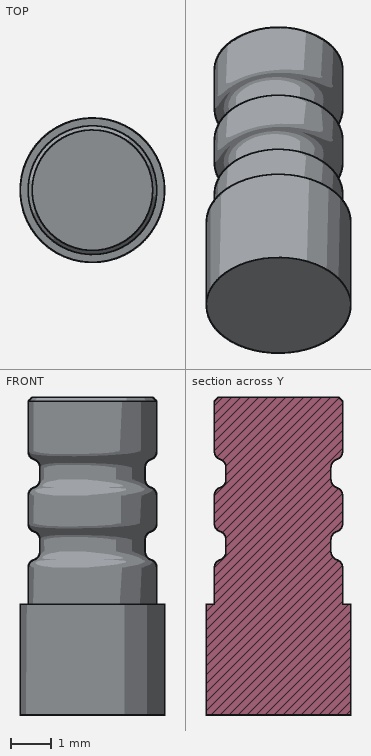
import cadquery as cq

total_height = 7.91
base_radius = 3.6 / 2
base_height = 2.76
stem_radius = 3.2 / 2
top_chamfer = 0.1

groove_radius = 2.63 / 2
groove_floor_width = 0.3
flank_arc_height = 0.2
groove_pitch = 1.795
lower_groove_center = 4.215
groove_centers = [lower_groove_center, lower_groove_center + groove_pitch]

middle_radius = (stem_radius + groove_radius) / 2
floor_half = groove_floor_width / 2
middle_half = floor_half + flank_arc_height
mouth_half = middle_half + flank_arc_height


def make_body():
    """Stepped round pin with a chamfered tip."""
    base = cq.Workplane("XY").circle(base_radius).extrude(base_height)
    stem = cq.Workplane("XY").circle(stem_radius).extrude(total_height)
    return base.union(stem.faces(">Z").chamfer(top_chamfer))


def make_groove_cutter(center):
    """Ring of material removed by one groove, revolved about Z."""
    profile = (
        cq.Workplane("XZ")
        .moveTo(groove_radius, center)
        .lineTo(groove_radius, center + floor_half)
        .tangentArcPoint((middle_radius, center + middle_half), relative=False)
        .tangentArcPoint((stem_radius, center + mouth_half), relative=False)
        .lineTo(base_radius, center + mouth_half)
        .lineTo(base_radius, center)
        .close()
    )
    upper_half = profile.revolve(360, (0, 0, 0), (0, 1, 0))
    lower_half = upper_half.mirror("XY", (0, 0, center))
    return upper_half.union(lower_half)


result = make_body()
for groove_center in groove_centers:
    result = result.cut(make_groove_cutter(groove_center))